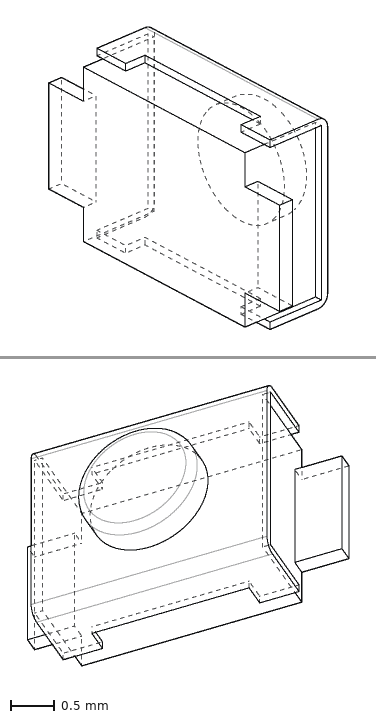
import cadquery as cq


housing_length = 2.8
housing_height = 2.3
housing_depth = 1.1

sheet = 0.1
cover_length = 3.0
cover_height = housing_height + 2 * sheet
cover_back = housing_depth + sheet
cover_front = 0.3
bend_radius = 0.15
notch_length = 2.0
notch_depth = 0.3

button_diameter = 1.5
button_travel = 0.4
button_fillet = 0.1

terminal_span = 4.0
terminal_length = 1.0
terminal_height = 1.4
terminal_thickness = 0.2


def block(length, depth, height, front=0.0, center_x=0.0):
    """Box centred on Z, starting at Y = front and extending along +Y."""
    return (
        cq.Workplane("XY")
        .box(length, depth, height, centered=(True, False, True))
        .translate((center_x, front, 0))
    )


def make_cover():
    depth = cover_back - cover_front
    shell = block(cover_length, depth, cover_height, cover_front)
    shell = shell.edges("|X and >Y").fillet(bend_radius)
    inside = block(cover_length, depth - sheet, housing_height, cover_front)
    notches = block(notch_length, notch_depth, cover_height, cover_front)
    return shell.cut(inside).cut(notches)


def make_button():
    return (
        cq.Workplane("XZ", origin=(0, cover_back, 0))
        .circle(button_diameter / 2)
        .extrude(-button_travel)
        .faces(">Y")
        .edges()
        .fillet(button_fillet)
    )


result = block(housing_length, housing_depth, housing_height)
result = result.union(make_cover()).union(make_button())

terminal_center = (terminal_span - terminal_length) / 2
for side in (-1, 1):
    terminal = block(
        terminal_length,
        terminal_thickness,
        terminal_height,
        center_x=side * terminal_center,
    )
    result = result.union(terminal)